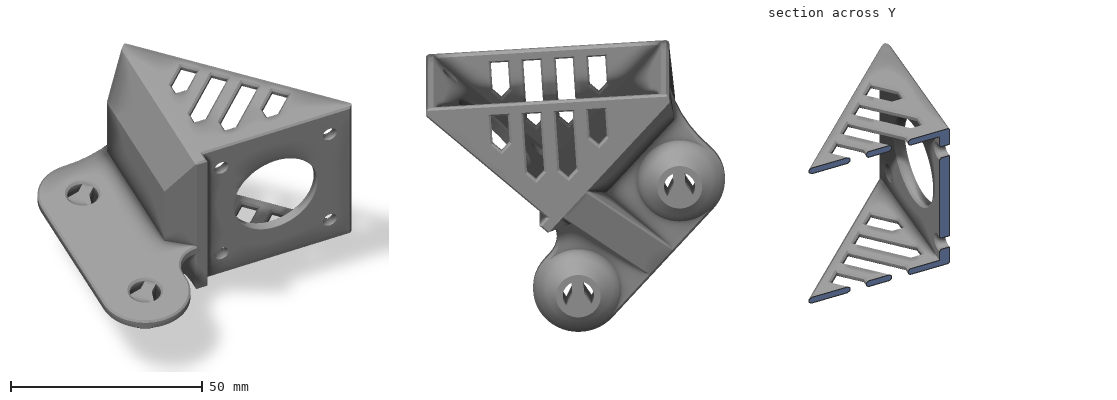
import cadquery as cq
import math

box_height = 46.0
box_depth = 46.05
total_depth = 77.0
wall = 3.0
chamfer = 0.5

back_y = total_depth - box_depth
back_right = box_depth + wall
corner_chamfer = 1.0
margin = 0.8
mouth_offset = 33.0
lid = 2.1
mouth_chamfer_height = 0.7
mouth_chamfer_depth = 0.5
back_chamfer_depth = 0.55
back_chamfer_slope = 0.55
back_chamfer_reach = 0.9

motor_y = 54.8
motor_z = box_height / 2
pilot_dia = 24.0
screw_dia = 4.0
screw_spacing = 31.0

slot_end_offset = 29.4
slot_leg = 3.9
slot_pitch = 12.0
slot_right = 40.65
slot_near_y = 36.4
slot_chamfer = 0.55

pad_depth = 6.9
pad_left, pad_right = 6.8, 43.7
pad_bottom, pad_top = 13.0, 33.8
pad_base_left = corner_chamfer
pad_base_bottom, pad_base_top = 0.7, 46.05

flange_top = 16.0
flange_thickness = 3.1
flange_bottom = flange_top - flange_thickness
flange_radius = 11.85
flange_under_chamfer = 0.7
boss_y = flange_radius
boss_xs = (18.6, 58.7)
boss_depth = 6.0
boss_tip_radius = flange_radius - boss_depth
neck_right = 49.3
neck_radius = 7.15
side_radius = 34.95

recess_dia = 8.2
recess_chamfer = 0.6
bridge_half_width = 1.55
bridge_bend = -0.7
bridge_flare = math.radians(30)
bridge_angle = -45

gusset_width = 10.0


def make_box():
    """Right-angled shell, open towards the diagonal mouth."""
    mouth_top_x = total_depth - mouth_offset
    outline = [
        (corner_chamfer, back_y),
        (back_right, back_y),
        (back_right, back_y + wall),
        (box_depth, back_y + wall),
        (box_depth, total_depth - corner_chamfer),
        (box_depth - corner_chamfer, total_depth),
        (mouth_top_x, total_depth),
        (0, mouth_offset),
        (0, back_y + corner_chamfer),
    ]
    box = cq.Workplane("XY").polyline(outline).close().extrude(box_height)
    box = box.faces("<Z or >Z").edges("|(1,1,0)").chamfer(mouth_chamfer_height, mouth_chamfer_depth)
    step_edges = cq.selectors.BoxSelector(
        (box_depth - chamfer, back_y - margin, -margin),
        (back_right + margin, total_depth - margin, box_height + margin),
    )
    box = box.faces("<Z or >Z").edges(step_edges).chamfer(chamfer)

    inner_right = box_depth - wall
    inner_y = back_y + wall
    pocket_outline = [
        (inner_right, inner_y),
        (inner_right, total_depth + margin),
        (-margin, total_depth + margin),
        (-margin, inner_y),
    ]
    pocket = cq.Workplane("XY", origin=(0, 0, lid)).polyline(pocket_outline).close()
    box = box.cut(pocket.extrude(box_height - 2 * lid))
    inner_mouth = cq.selectors.BoxSelector(
        (-margin, back_y, lid / 2), (box_depth, total_depth, box_height - lid / 2)
    )
    return box.edges("|(1,1,0)").edges(inner_mouth).chamfer(mouth_chamfer_height)


def make_pad():
    """Frustum with unequal slopes from the back face to a smaller front face."""
    base = cq.Workplane("XZ", origin=(0, back_y, 0)).polyline([
        (pad_base_left, pad_base_bottom),
        (back_right, pad_base_bottom),
        (back_right, pad_base_top),
        (pad_base_left, pad_base_top),
    ]).close()
    return base.workplane(offset=pad_depth).polyline([
        (pad_left, pad_bottom),
        (pad_right, pad_bottom),
        (pad_right, pad_top),
        (pad_left, pad_top),
    ]).close().loft(ruled=True)


def make_back_chamfer():
    """Wedge that bevels the upper back edge and the pad root."""
    start_y = back_y + back_chamfer_depth
    end_y = back_y - back_chamfer_reach
    drop = back_chamfer_slope * (start_y - end_y)
    return cq.Workplane("YZ").polyline([
        (start_y, box_height),
        (end_y, box_height - drop),
        (end_y, box_height + margin),
        (start_y, box_height + margin),
    ]).close().extrude(back_right)


def make_slot(corner_x, corner_y):
    """Five-sided diagonal slot through both lids, flared at both faces of each lid."""
    def mouth_point(total):
        return ((total - slot_end_offset) / 2, (total + slot_end_offset) / 2)

    total = corner_x + corner_y
    points = [
        (corner_x, corner_y),
        (corner_x, corner_y + slot_leg),
        mouth_point(total + slot_leg),
        mouth_point(total - slot_leg),
        (corner_x - slot_leg, corner_y),
    ]
    flare = cq.Workplane("XY").polyline(points).close().extrude(slot_chamfer, taper=45)
    passage = cq.Workplane("XY").polyline(points).close().offset2D(-slot_chamfer).extrude(lid)
    inner_flare = flare.mirror("XY").translate((0, 0, lid))
    lower = passage.union(flare).union(inner_flare)
    upper = lower.translate((0, 0, box_height - lid))
    return lower.union(upper)


def make_motor_hole(y, z, diameter):
    """Hole through the motor plate, countersunk on the inner face."""
    inner_x = box_depth - wall
    radius = diameter / 2
    profile = cq.Workplane("XY", origin=(inner_x, y, z)).polyline([
        (0, 0),
        (0, radius + chamfer),
        (chamfer, radius),
        (wall, radius),
        (wall, 0),
    ]).close()
    return profile.revolve(360, (0, 0, 0), (1, 0, 0))


def make_flange():
    """Rounded plate with concave necks up to the back of the box."""
    left_x = boss_xs[0] - flange_radius
    far_y = 2 * flange_radius
    side_center_x = left_x - side_radius
    reach = back_y - boss_y

    def side_point(rise):
        return (side_center_x + math.sqrt(side_radius**2 - rise**2), boss_y + rise)

    diagonal = math.sqrt(0.5)
    neck_center = (neck_right + neck_radius, far_y + neck_radius)
    plate = (
        cq.Workplane("XY", origin=(0, 0, flange_bottom))
        .moveTo(*side_point(reach))
        .threePointArc(side_point(reach / 2), (left_x, boss_y))
        .threePointArc(
            (boss_xs[0] - flange_radius * diagonal, boss_y - flange_radius * diagonal),
            (boss_xs[0], 0),
        )
        .lineTo(boss_xs[1], 0)
        .threePointArc((boss_xs[1] + flange_radius, boss_y), (boss_xs[1], far_y))
        .lineTo(neck_center[0], far_y)
        .threePointArc(
            (neck_center[0] - neck_radius * diagonal, neck_center[1] - neck_radius * diagonal),
            (neck_right, neck_center[1]),
        )
        .lineTo(neck_right, back_y)
        .close()
        .extrude(flange_thickness)
    )
    plate = plate.faces(">Z").edges("not(>Y)").chamfer(chamfer)
    return plate.faces("<Z").edges("not(>Y)").chamfer(flange_under_chamfer)


def make_boss(x):
    """Cone under the flange."""
    top_z = flange_bottom + flange_under_chamfer
    return (
        cq.Workplane("XY", origin=(x, boss_y, top_z))
        .circle(flange_radius)
        .workplane(offset=-boss_depth)
        .circle(boss_tip_radius)
        .loft()
    )


def make_boss_opening(x):
    """Countersunk hole crossed by a diagonal bridge that widens at one end."""
    radius = recess_dia / 2
    far = recess_dia
    flare_width = bridge_half_width + (far - bridge_bend) * math.tan(bridge_flare)
    bridge = (
        cq.Workplane("XY")
        .polyline([
            (-far, -bridge_half_width),
            (bridge_bend, -bridge_half_width),
            (far, -flare_width),
            (far, flare_width),
            (bridge_bend, bridge_half_width),
            (-far, bridge_half_width),
        ])
        .close()
        .extrude(flange_top)
        .rotate((0, 0, 0), (0, 0, 1), bridge_angle)
    )
    hole = cq.Workplane("XY").circle(radius).extrude(flange_top).cut(bridge)
    countersink = (
        cq.Workplane("XY", origin=(0, 0, flange_top))
        .circle(radius + recess_chamfer)
        .workplane(offset=-recess_chamfer)
        .circle(radius)
        .loft()
    )
    return hole.union(countersink).translate((x, boss_y, 0))


def make_gusset():
    """Triangular rib from the foot of the back face to the front of the flange."""
    rib = (
        cq.Workplane("YZ", origin=(pad_right - gusset_width, 0, 0))
        .polyline([
            (back_y, pad_base_bottom),
            (back_y, flange_bottom),
            (flange_under_chamfer, flange_bottom),
        ])
        .close()
        .extrude(gusset_width)
    )
    return rib.faces("<Z").edges("not(|X)").chamfer(chamfer)


part = make_box().union(make_pad()).cut(make_back_chamfer())
part = part.union(make_flange())
for boss_x in boss_xs:
    part = part.union(make_boss(boss_x))
part = part.union(make_gusset())
for boss_x in boss_xs:
    part = part.cut(make_boss_opening(boss_x))

slot_corners = [
    (slot_right - 1.5 * slot_pitch, slot_near_y),
    (slot_right - 0.5 * slot_pitch, slot_near_y),
    (slot_right, slot_near_y + 0.5 * slot_pitch),
    (slot_right, slot_near_y + 1.5 * slot_pitch),
]
for corner_x, corner_y in slot_corners:
    part = part.cut(make_slot(corner_x, corner_y))

part = part.cut(make_motor_hole(motor_y, motor_z, pilot_dia))
for side_y in (-1, 1):
    for side_z in (-1, 1):
        screw_y = motor_y + side_y * screw_spacing / 2
        screw_z = motor_z + side_z * screw_spacing / 2
        part = part.cut(make_motor_hole(screw_y, screw_z, screw_dia))

result = part